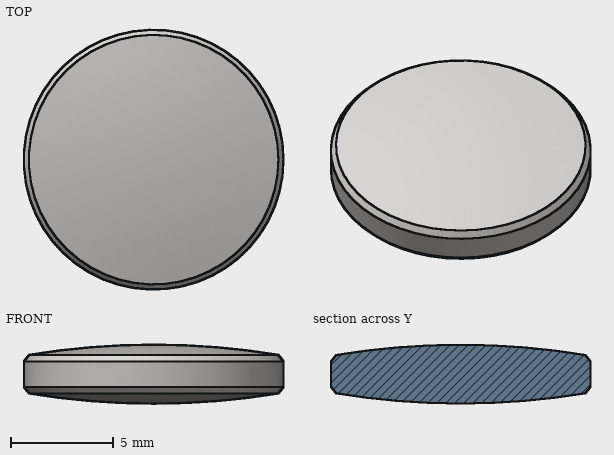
import cadquery as cq

diameter = 12.7
thickness = 2.9
rim_height = 1.26
bevel_width = 0.25
bevel_height = 0.32

rim_radius = diameter / 2
dome_radius = rim_radius - bevel_width
apex_z = thickness / 2
rim_z = rim_height / 2
dome_edge_z = rim_z + bevel_height

dome_height = apex_z - dome_edge_z
sphere_radius = (dome_radius**2 + dome_height**2) / (2 * dome_height)

arc_mid_x = dome_radius / 2
arc_mid_z = apex_z - sphere_radius + (sphere_radius**2 - arc_mid_x**2) ** 0.5

half_section = (
    cq.Workplane("XZ")
    .moveTo(0, -apex_z)
    .threePointArc((arc_mid_x, -arc_mid_z), (dome_radius, -dome_edge_z))
    .lineTo(rim_radius, -rim_z)
    .lineTo(rim_radius, rim_z)
    .lineTo(dome_radius, dome_edge_z)
    .threePointArc((arc_mid_x, arc_mid_z), (0, apex_z))
    .close()
)

result = half_section.revolve(360, (0, 0, 0), (0, 1, 0))